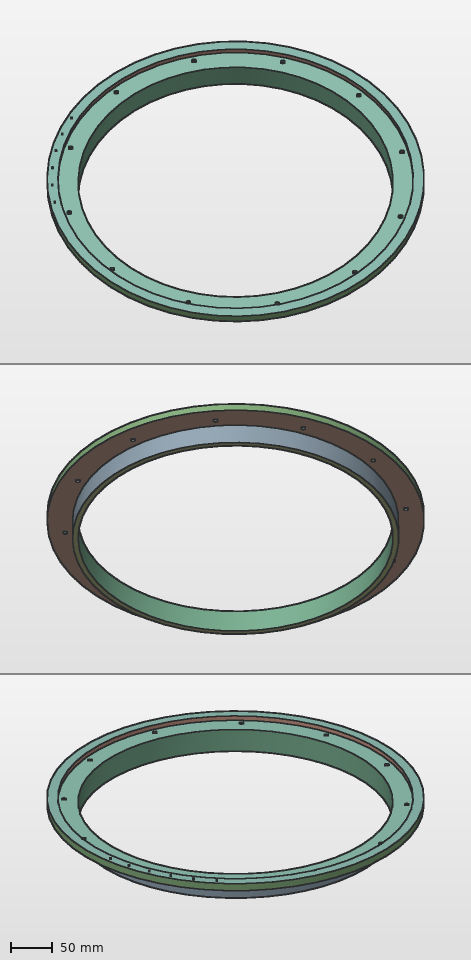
import cadquery as cq

flange_diameter = 450.0
collar_diameter = 389.5
bore_diameter = 376.0
flange_thickness = 9.5
collar_height = 25.5
flange_top = collar_height + flange_thickness

recess_diameter = 424.0
recess_depth = 6.0

bolt_count = 12
bolt_hole_diameter = 5.0
bolt_circle_radius = 205.0
bolt_pitch_angle = 360 / bolt_count

overall_height = 36.5
pin_height = overall_height - flange_top
pin_diameter = 1.55
pin_circle_radius = 219.3
pin_count = 6
pin_pitch_angle = 7.4
pin_start_angle = 214.2
pin_arc_angle = pin_pitch_angle * (pin_count - 1)


def disc(diameter, bottom, height):
    """Solid disc centred on the Z axis."""
    return cq.Workplane("XY").workplane(offset=bottom).circle(diameter / 2).extrude(height)


def make_ring():
    collar = disc(collar_diameter, 0, collar_height)
    flange = disc(flange_diameter, collar_height, flange_thickness)
    recess = disc(recess_diameter, flange_top - recess_depth, recess_depth)
    bore = disc(bore_diameter, 0, flange_top)
    return collar.union(flange).cut(recess).cut(bore)


def make_bolt_holes():
    return (
        cq.Workplane("XY")
        .polarArray(bolt_circle_radius, bolt_pitch_angle / 2, 360, bolt_count)
        .circle(bolt_hole_diameter / 2)
        .extrude(flange_top)
    )


def make_pins():
    return (
        cq.Workplane("XY")
        .workplane(offset=collar_height + flange_thickness / 2)
        .polarArray(pin_circle_radius, pin_start_angle, pin_arc_angle, pin_count, fill=True)
        .circle(pin_diameter / 2)
        .extrude(flange_thickness / 2 + pin_height)
    )


result = make_ring().cut(make_bolt_holes()).union(make_pins())